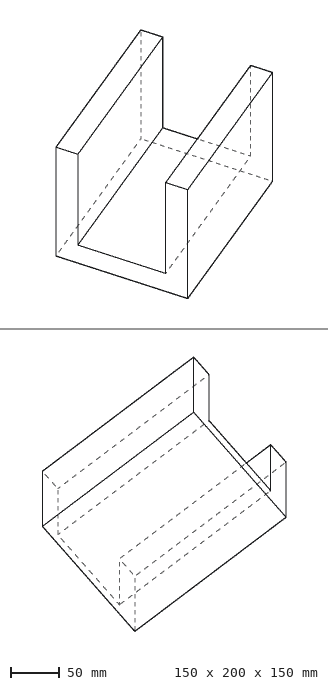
import cadquery as cq

width = 150.0
length = 200.0
height = 150.0
wall = 25.0

block = cq.Workplane("XY").box(width, length, height, centered=(True, True, False))

channel = (
    cq.Workplane("XY")
    .workplane(offset=wall)
    .box(width - 2 * wall, length, height - wall, centered=(True, True, False))
)

result = block.cut(channel)